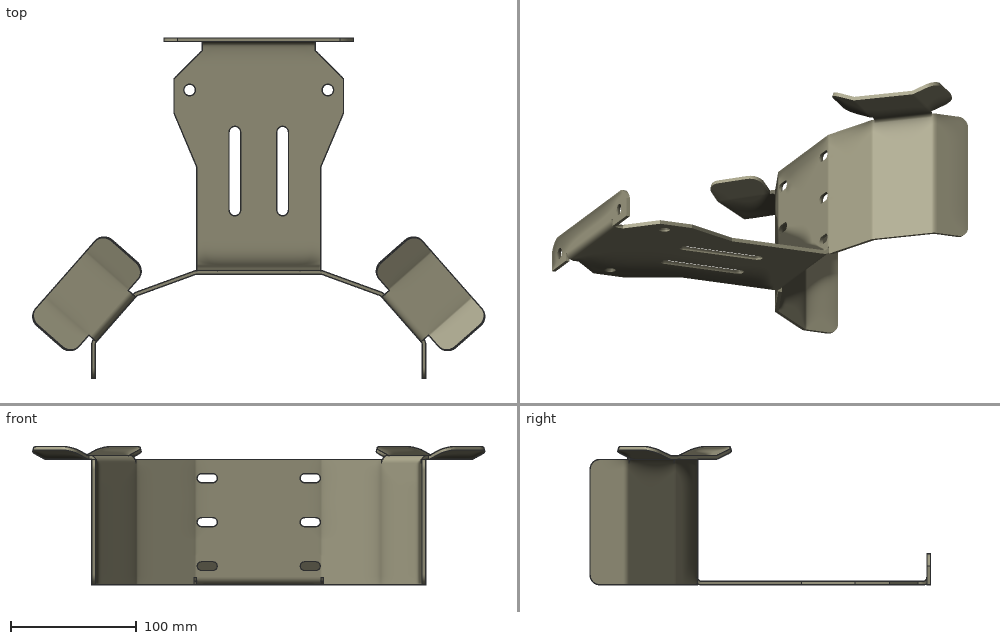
import cadquery as cq
import math

thickness = 3.0
bend_radius = 3.0
outer_radius = bend_radius + thickness
relief_width = 2.0

wall_height = 100.0
centre_half_width = 50.0
panel_length = 50.0
side_angle = 20.0
wall_bend_radius = 3.0
leg_half_span = 130.0
leg_tip_y = -82.8
side_end_x = centre_half_width + panel_length * math.cos(math.radians(side_angle))
tab_panel_angle = math.degrees(math.acos((leg_half_span - side_end_x) / panel_length))
leg_corner_radius = 8.0
wall_slot_length = 16.0
wall_slot_width = 7.0
wall_slot_x = 41.0
wall_slot_heights = (15.0, 50.0, 85.0)

overall_depth = 271.0
plate_end_y = leg_tip_y + overall_depth
plate_half_width = 49.5
shoulder_half_width = 67.5
neck_half_width = 45.0
shoulder_taper_start = 102.5
shoulder_front = 60.0
shoulder_back = 32.5
plate_hole_diameter = 9.0
plate_hole_x = 55.0
plate_hole_inset = 41.5
plate_slot_length = 71.0
plate_slot_width = 9.0
plate_slot_x = 19.0
plate_slot_inset = 106.0

flange_length = 151.0
flange_height = 25.0
flange_side_height = 15.0
flange_corner_width = 10.8
flange_corner_radius = 16.0
flange_hole_diameter = 9.0
flange_hole_x = 60.0
flange_hole_z = 10.0

tab_width = 47.5
tab_reach = 53.8
ear_angle = 20.0
ear_rise = 7.34
ear_start = 8.0
ear_corner_radius = 10.0


def direction(angle):
    return math.cos(math.radians(angle)), math.sin(math.radians(angle))


def wall_corners():
    """Sharp front-face corners of the +X half of the wall, from the middle to the leg tip."""
    side_end_y = -panel_length * math.sin(math.radians(side_angle))
    leg_top_y = side_end_y - panel_length * math.sin(math.radians(tab_panel_angle))
    return [
        (0, 0),
        (centre_half_width, 0),
        (side_end_x, side_end_y),
        (leg_half_span, leg_top_y),
        (leg_half_span, leg_tip_y),
    ]


def back_corners(front):
    """Matching corners of the back face, mitred at each bend."""
    angles = [0, 0, side_angle, tab_panel_angle, 90, 90]
    corners = []
    for (x, y), before, after in zip(front, angles, angles[1:]):
        cos_mitre, sin_mitre = direction((before + after) / 2)
        mitre = thickness / math.cos(math.radians((after - before) / 2))
        corners.append((x + mitre * sin_mitre, y + mitre * cos_mitre))
    return corners


def half_wall():
    front = wall_corners()
    back = back_corners(front)
    wall = cq.Workplane("XY").polyline(front + back[::-1]).close().extrude(wall_height)
    mid_z = wall_height / 2
    for radius, corners in ((wall_bend_radius, front), (wall_bend_radius + thickness, back)):
        for x, y in corners[1:-1]:
            bend = cq.selectors.NearestToPointSelector((x, y, mid_z))
            wall = wall.edges("|Z").edges(bend).fillet(radius)
    wall = wall.faces("<Y").edges("|X").fillet(leg_corner_radius)
    slots = (
        cq.Workplane("XZ")
        .pushPoints([(wall_slot_x, z) for z in wall_slot_heights])
        .slot2D(wall_slot_length, wall_slot_width)
        .extrude(thickness * 2, both=True)
    )
    return wall.cut(slots)


def tab():
    """Tab in its own frame: panel front face on Y = 0 and centred on X = 0, tab toward +Y."""
    bend_z = wall_height - bend_radius
    top_z = bend_z + outer_radius
    cos45, sin45 = direction(45)
    neck = (
        cq.Workplane("YZ")
        .moveTo(0, bend_z)
        .threePointArc(
            (outer_radius * (1 - cos45), bend_z + outer_radius * sin45), (outer_radius, top_z)
        )
        .lineTo(ear_start, top_z)
        .lineTo(ear_start, wall_height)
        .lineTo(outer_radius, wall_height)
        .threePointArc(
            (outer_radius - bend_radius * cos45, bend_z + bend_radius * sin45),
            (thickness, bend_z),
        )
        .close()
        .extrude(tab_width / 2, both=True)
    )

    cos_ear, sin_ear = direction(ear_angle)
    hinge_x = tab_width / 2 + bend_radius * math.tan(math.radians(ear_angle / 2))
    tip_x = hinge_x + ear_rise / math.tan(math.radians(ear_angle))
    tip_z = top_z + ear_rise
    under_hinge_x = hinge_x + thickness * math.tan(math.radians(ear_angle / 2))
    right_half = [
        (hinge_x, top_z),
        (tip_x, tip_z),
        (tip_x + thickness * sin_ear, tip_z - thickness * cos_ear),
        (under_hinge_x, wall_height),
    ]
    left_half = [(-x, z) for x, z in right_half[::-1]]
    ears = (
        cq.Workplane("XZ", origin=(0, ear_start, 0))
        .polyline(right_half + left_half)
        .close()
        .extrude(ear_start - tab_reach)
    )
    mid_y = (ear_start + tab_reach) / 2
    for side in (-1, 1):
        inside = cq.selectors.NearestToPointSelector((side * hinge_x, mid_y, top_z))
        outside = cq.selectors.NearestToPointSelector((side * under_hinge_x, mid_y, wall_height))
        ears = ears.edges("|Y").edges(inside).fillet(bend_radius)
        ears = ears.edges("|Y").edges(outside).fillet(outer_radius)
    for end in ("<X", ">X"):
        ears = ears.faces(end).edges("#Y").fillet(ear_corner_radius)
    return neck.union(ears)


def half_cradle():
    """+X half of the wall with its tab."""
    _, _, panel_start, panel_end, _ = wall_corners()
    panel_x = (panel_start[0] + panel_end[0]) / 2
    panel_y = (panel_start[1] + panel_end[1]) / 2
    bend_clearance = cq.Workplane("XY").box(
        tab_width, outer_radius * 2, bend_radius * 2
    ).translate((0, 0, wall_height))

    def place(body):
        return body.rotate((0, 0, 0), (0, 0, 1), -tab_panel_angle).translate((panel_x, panel_y, 0))

    return half_wall().cut(place(bend_clearance)).union(place(tab()))


def base_plate():
    """Flat plate that curves up at both ends into the wall and the end flange."""
    neck_start_y = plate_end_y - shoulder_back + shoulder_half_width - neck_half_width
    right_side = [
        (plate_half_width, 0),
        (plate_half_width, plate_end_y - shoulder_taper_start),
        (shoulder_half_width, plate_end_y - shoulder_front),
        (shoulder_half_width, plate_end_y - shoulder_back),
        (neck_half_width, neck_start_y),
        (neck_half_width, plate_end_y),
    ]
    left_side = [(-x, y) for x, y in right_side[::-1]]
    outline = cq.Workplane("XY").polyline(right_side + left_side).close().extrude(outer_radius)

    section = (
        cq.Workplane("YZ")
        .moveTo(0, outer_radius)
        .radiusArc((outer_radius, 0), -outer_radius)
        .lineTo(plate_end_y - outer_radius, 0)
        .radiusArc((plate_end_y, outer_radius), -outer_radius)
        .lineTo(plate_end_y - thickness, outer_radius)
        .radiusArc((plate_end_y - outer_radius, thickness), bend_radius)
        .lineTo(outer_radius, thickness)
        .radiusArc((thickness, outer_radius), bend_radius)
        .close()
        .extrude(shoulder_half_width, both=True)
    )
    holes = (
        cq.Workplane("XY")
        .pushPoints([(side * plate_hole_x, plate_end_y - plate_hole_inset) for side in (-1, 1)])
        .circle(plate_hole_diameter / 2)
        .extrude(thickness)
    )
    slots = (
        cq.Workplane("XY")
        .pushPoints([(side * plate_slot_x, plate_end_y - plate_slot_inset) for side in (-1, 1)])
        .slot2D(plate_slot_length, plate_slot_width, 90)
        .extrude(thickness)
    )
    return section.intersect(outline).cut(holes).cut(slots)


def end_flange():
    """Upright strip with rounded top corners, open at the bottom where the neck bend enters."""
    half_length = flange_length / 2
    top_half_length = half_length - flange_corner_width
    strip = (
        cq.Workplane("XZ", origin=(0, plate_end_y, 0))
        .moveTo(-half_length, 0)
        .lineTo(half_length, 0)
        .lineTo(half_length, flange_side_height)
        .radiusArc((top_half_length, flange_height), -flange_corner_radius)
        .lineTo(-top_half_length, flange_height)
        .radiusArc((-half_length, flange_side_height), -flange_corner_radius)
        .close()
        .extrude(thickness)
    )
    holes = (
        cq.Workplane("XZ", origin=(0, plate_end_y, 0))
        .pushPoints([(side * flange_hole_x, flange_hole_z) for side in (-1, 1)])
        .circle(flange_hole_diameter / 2)
        .extrude(thickness)
    )
    bend_opening = (
        cq.Workplane("XY")
        .box(
            2 * (neck_half_width + relief_width),
            thickness,
            outer_radius,
            centered=(True, False, False),
        )
        .translate((0, plate_end_y - thickness, 0))
    )
    return strip.cut(holes).cut(bend_opening)


def wall_bend_opening():
    """Foot of the centre panel, replaced by the bend into the base plate and its relief slits."""
    return cq.Workplane("XY").box(
        2 * (plate_half_width + relief_width),
        2 * outer_radius,
        outer_radius,
        centered=(True, True, False),
    )


right_cradle = half_cradle()
cradle = right_cradle.union(right_cradle.mirror("YZ")).cut(wall_bend_opening())
result = cradle.union(base_plate()).union(end_flange())